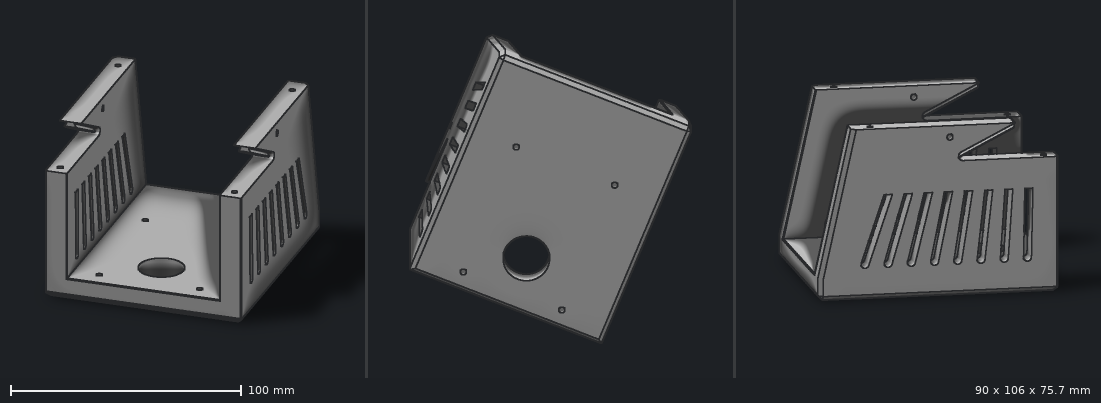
import cadquery as cq
import math

width = 90.0
length = 106.0
height = 75.7
wall = 10.0
floor = 10.0
inner_width = width - 2 * wall
wall_centre = (width - wall) / 2

slope_start = 10.1
rear_top_y = 91.5

outer_chamfer = 2.0
front_chamfer = 0.5
inner_chamfer = 0.4

notch_floor = 59.9
tip_y = 19.0
notch_angle = math.radians(26.5)
notch_radius = 2.0
notch_end_y = tip_y + (height - notch_floor) / math.tan(notch_angle)

rib_root_width = 3.6
rib_foot_width = 5.5
rib_neck = 0.5
rib_depth = 2.8
rib_chamfer = 0.4
rib_run = 25.4

slot_count = 8
slot_width = 3.5
slot_bottom_z = 15.6
slot_top_z = 46.2
slot_bottom_start = 13.6
slot_bottom_pitch = 10.3
slot_top_start = 12.9
slot_top_pitch = 8.9

screw_diameter = 2.5
screw_depth = 10.6
screw_front_y = 5.5
screw_rear_y = 82.4
mount_diameter = 2.6
mount_spacing_x = 46.1
mount_front_y = 8.4
mount_rear_y = 69.5
cable_diameter = 20.2
cable_y = 24.3
cross_diameter = 2.6
cross_y = 47.9
cross_z = 70.6


def side_prism(sketch, prism_width):
    """Extrude a closed YZ outline symmetrically about X = 0."""
    return sketch.close().extrude(prism_width / 2, both=True)


def make_block():
    """Outer block with the sloping rear and its broken edges."""
    outline = cq.Workplane("YZ").polyline(
        [(0, 0), (length, 0), (length, slope_start), (rear_top_y, height), (0, height)]
    )
    block = side_prism(outline, width)
    rear_zone = cq.selectors.BoxSelector((-width, rear_top_y, 0), (width, length + wall, height))
    corner_edges = block.edges(rear_zone).edges("not |X")
    underside_edges = block.faces("<Z").edges()
    block = block.newObject(corner_edges.vals() + underside_edges.vals()).chamfer(outer_chamfer)
    return block.faces("<Y").edges("not >Z").chamfer(front_chamfer)


def make_channel():
    """Tool for the open channel between the walls."""
    channel_centre = cq.Workplane("XY", origin=(0, length / 2, floor))
    return channel_centre.box(inner_width, 2 * length, height, centered=(True, True, False))


def make_notch():
    """Tool for the rounded, undercut notch through both walls."""
    outline = cq.Workplane("YZ").polyline(
        [
            (-wall, notch_floor),
            (notch_end_y, notch_floor),
            (tip_y, height),
            (tip_y, height + wall),
            (-wall, height + wall),
        ]
    )
    return side_prism(outline, 2 * width).edges(">Y").fillet(notch_radius)


def make_rib(centre_x):
    """Dovetail rib running down the slanted notch face."""
    half_widths_and_drops = [
        (rib_root_width / 2, 0),
        (rib_root_width / 2, rib_neck),
        (rib_foot_width / 2, rib_depth - rib_chamfer),
        (rib_foot_width / 2 - rib_chamfer, rib_depth),
    ]
    right_side = [cq.Vector(centre_x + half, tip_y, height - drop) for half, drop in half_widths_and_drops]
    left_side = [cq.Vector(centre_x - half, tip_y, height - drop) for half, drop in half_widths_and_drops]
    section = cq.Wire.makePolygon(right_side + left_side[::-1], close=True)
    direction = cq.Vector(0, rib_run, -rib_run * math.tan(notch_angle))
    rib = cq.Workplane(cq.Solid.extrudeLinear(cq.Face.makeFromWires(section), direction))
    return rib.faces("<Y").edges("<Z").chamfer(rib_chamfer)


def make_slot(index):
    """Tool for one leaning slot: round at the bottom, level at the top."""
    bottom_y = slot_bottom_start + index * slot_bottom_pitch
    top_y = slot_top_start + index * slot_top_pitch
    lean = math.atan2(bottom_y - top_y, slot_top_z - slot_bottom_z)
    offset_y = slot_width / 2 * math.cos(lean)
    offset_z = slot_width / 2 * math.sin(lean)
    half_top = slot_width / 2 / math.cos(lean)
    outline = (
        cq.Workplane("YZ")
        .moveTo(top_y - half_top, slot_top_z)
        .lineTo(bottom_y - offset_y, slot_bottom_z - offset_z)
        .threePointArc(
            (bottom_y + offset_z, slot_bottom_z - offset_y),
            (bottom_y + offset_y, slot_bottom_z + offset_z),
        )
        .lineTo(top_y + half_top, slot_top_z)
    )
    return side_prism(outline, 2 * width)


def make_hole(x, y, top_z, diameter, depth):
    """Tool for a hole drilled straight down from top_z."""
    return cq.Workplane("XY", origin=(x, y, top_z)).circle(diameter / 2).extrude(-depth)


result = make_block().cut(make_channel())
mouth_zone = cq.selectors.BoxSelector(
    (-wall_centre, -wall, floor / 2), (wall_centre, length + wall, height + wall), boundingbox=True
)
result = result.edges(mouth_zone).edges("not |Y").chamfer(inner_chamfer)

result = result.cut(make_notch())
for side in (-1, 1):
    result = result.union(make_rib(side * wall_centre))

for slot_index in range(slot_count):
    result = result.cut(make_slot(slot_index))

for side in (-1, 1):
    screw_x = side * wall_centre
    result = result.cut(make_hole(screw_x, screw_rear_y, height, screw_diameter, screw_depth))
    result = result.cut(make_hole(screw_x, screw_front_y, notch_floor, screw_diameter, screw_depth))
    for mount_y in (mount_front_y, mount_rear_y):
        result = result.cut(make_hole(side * mount_spacing_x / 2, mount_y, floor, mount_diameter, floor))

result = result.cut(make_hole(0, cable_y, floor, cable_diameter, floor))
cross_sketch = cq.Workplane("YZ").center(cross_y, cross_z).circle(cross_diameter / 2)
result = result.cut(cross_sketch.extrude(width, both=True))